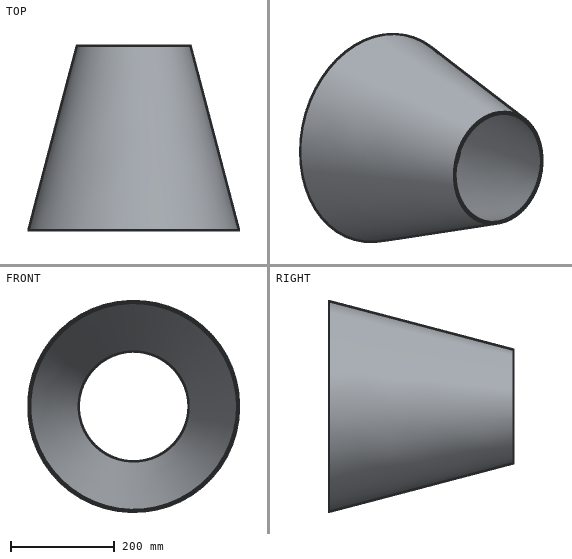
import cadquery as cq

large_diameter = 406.4
small_diameter = 219.1
length = 356.0
wall = 4.0

large_radius = large_diameter / 2
small_radius = small_diameter / 2


def cone_wall_profile():
    """Half section of the conical wall, with radius along X and the axis along Y."""
    return (
        cq.Workplane("XY")
        .moveTo(large_radius - wall, 0)
        .lineTo(large_radius, 0)
        .lineTo(small_radius, length)
        .lineTo(small_radius - wall, length)
        .close()
    )


result = cone_wall_profile().revolve(360, (0, 0, 0), (0, 1, 0))